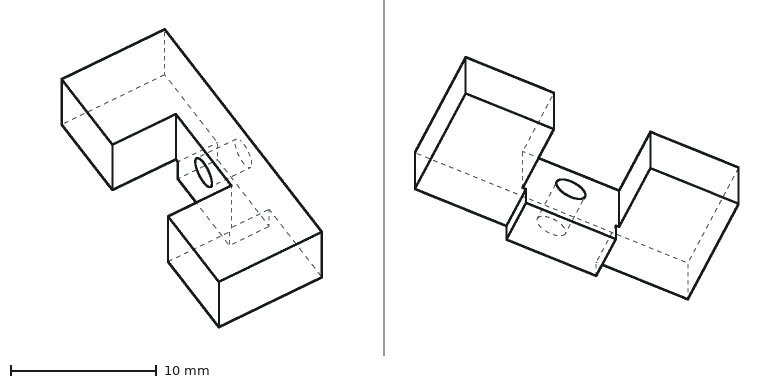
import cadquery as cq

length = 20.68
depth = 8.31
total_height = 7.0
tab_height = 1.9
body_height = total_height - tab_height

notch_width = 7.3
wall_thickness = 3.2
notch_depth = depth - wall_thickness

tab_width = 6.8
hole_diameter = 2.2



def centred_block(width, block_depth, height, back_y, bottom_z):
    """Block centred on X, reaching forward (-Y) from back_y and up from bottom_z."""
    block = cq.Workplane("XY").box(width, block_depth, height, centered=(True, False, False))
    return block.translate((0, back_y - block_depth, bottom_z))


bar = centred_block(length, depth, body_height, 0, 0)
notch = centred_block(notch_width, notch_depth, body_height, -wall_thickness, 0)
tab = centred_block(tab_width, wall_thickness, tab_height, 0, -tab_height)

hole = (
    cq.Workplane("XZ")
    .center(0, body_height / 2)
    .circle(hole_diameter / 2)
    .extrude(wall_thickness)
)

result = bar.cut(notch).union(tab).cut(hole)